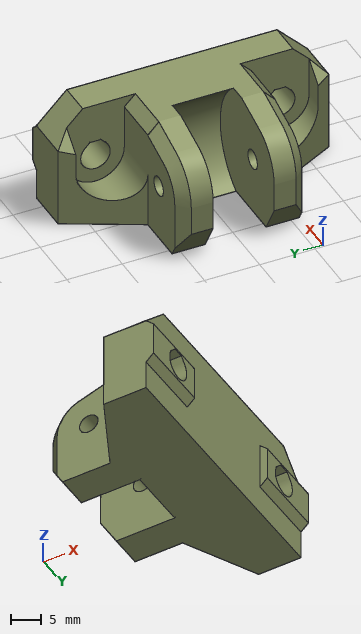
import cadquery as cq
import math

length = 49.0
height = 20.0

pin_setback = 18.65
pin_height = 10.35
pin_diameter = 3.5
nose_radius = 8.0
top_front_setback = 14.65
foot_height = 5.2
foot_angle = 30.0
arm_chamfer = 2.0
arms_width = 23.0
gap_width = 11.02
gap_radius = 12.0

wing_tip_setback = 8.05
wing_chamfer = 5.5
pocket_floor_setback = 5.95
screw_height = 10.0
screw_diameter = 5.35
screw_flat_rise = 2.8
relief_drop = 3.2
pocket_width = 10.45

key_depth = 1.4
key_half_height = 4.45
key_tip_half_height = 3.15

half_arms = arms_width / 2
half_length = length / 2
front_setback = pin_setback + nose_radius
pocket_radius = pocket_width / 2
screw_offset = half_arms + pocket_radius
key_length = half_length - half_arms
key_offset = half_arms + key_length / 2
shoulder_height = height - wing_chamfer


def nose_point(radius, angle):
    """Point around the pin axis, with the angle measured from +X towards +Z."""
    return (-pin_setback + radius * math.cos(angle), pin_height + radius * math.sin(angle))


def arm_profile(inset):
    """XZ outline of an arm, with its nose and top edges moved inwards by inset."""
    run = pin_setback - top_front_setback
    rise = height - pin_height
    slope_normal = math.atan2(rise, run) + math.acos(nose_radius / math.hypot(run, rise))
    radius = nose_radius - inset
    tangent = nose_point(radius, slope_normal)
    arc_middle = nose_point(radius, (slope_normal + math.pi) / 2)
    top = height - inset
    top_front = tangent[0] - (top - tangent[1]) * math.tan(slope_normal)
    front = -front_setback + inset
    return (
        cq.Workplane("XZ")
        .moveTo(front, 0)
        .lineTo(front, pin_height)
        .threePointArc(arc_middle, tangent)
        .lineTo(top_front, top)
        .lineTo(0, top)
        .lineTo(0, 0)
        .close()
    )


def make_arms():
    """Full-width arm block with chamfered outer rims and sloping feet."""
    core_half = half_arms - arm_chamfer
    arms = arm_profile(0).extrude(core_half, both=True)
    outer = cq.Solid.makeLoft(
        [
            arm_profile(0).wires().val().translate(cq.Vector(0, -core_half, 0)),
            arm_profile(arm_chamfer).wires().val().translate(cq.Vector(0, -half_arms, 0)),
        ],
        True,
    )
    rim = cq.Workplane(outer)
    arms = arms.union(rim).union(rim.mirror("XZ"))
    foot_run = foot_height * math.tan(math.radians(foot_angle))
    foot = (
        cq.Workplane("XZ")
        .polyline([(-front_setback, 0), (-front_setback + foot_run, 0), (-front_setback, foot_height)])
        .close()
        .extrude(half_arms, both=True)
    )
    return arms.cut(foot)


def make_wings():
    """Tapered wings and rear plate with chamfered upper ends."""
    plan = (
        cq.Workplane("XY")
        .polyline(
            [
                (0, -half_length),
                (-wing_tip_setback, -half_length),
                (-top_front_setback, -half_arms),
                (-top_front_setback, half_arms),
                (-wing_tip_setback, half_length),
                (0, half_length),
            ]
        )
        .close()
        .extrude(height)
    )
    end_view = (
        cq.Workplane("YZ")
        .polyline(
            [
                (-half_length, 0),
                (half_length, 0),
                (half_length, shoulder_height),
                (half_length - wing_chamfer, height),
                (-half_length + wing_chamfer, height),
                (-half_length, shoulder_height),
            ]
        )
        .close()
        .extrude(-front_setback)
    )
    return plan.intersect(end_view)


def make_pocket(side):
    """Open-topped, round-bottomed pocket that also chamfers the top edge of the neighbouring arm."""
    inner = side * half_arms
    outer = side * (half_arms + pocket_width)
    return (
        cq.Workplane("YZ", origin=(-front_setback, 0, 0))
        .moveTo(inner - side * arm_chamfer, height)
        .lineTo(inner, height - arm_chamfer)
        .lineTo(inner, screw_height)
        .threePointArc((side * screw_offset, screw_height - pocket_radius), (outer, screw_height))
        .lineTo(outer, height)
        .close()
        .extrude(front_setback - pocket_floor_setback)
    )


def make_corner_relief(side):
    """Tetrahedron that slopes the pocket's outer wall down from its floor to the wing's front face."""
    wall = half_arms + pocket_width
    rim_height = shoulder_height + half_length - wall
    wing_slope = (top_front_setback - wing_tip_setback) / (half_length - half_arms)
    front = -wing_tip_setback - (half_length - wall) * wing_slope
    floor_corner = cq.Vector(-pocket_floor_setback, side * wall, rim_height)
    wing_corner = cq.Vector(-wing_tip_setback, side * half_length, shoulder_height)
    front_high = cq.Vector(front, side * wall, rim_height)
    front_low = cq.Vector(front, side * wall, rim_height - relief_drop)
    triangles = [
        (floor_corner, wing_corner, front_high),
        (floor_corner, wing_corner, front_low),
        (floor_corner, front_high, front_low),
        (wing_corner, front_high, front_low),
    ]
    faces = [cq.Face.makeFromWires(cq.Wire.makePolygon(points, close=True)) for points in triangles]
    return cq.Workplane(cq.Solid.makeSolid(cq.Shell.makeShell(faces)))


def make_screw_hole(side):
    """Through hole with 45-degree roof flanks cut off by a flat, for printing without supports."""
    radius = screw_diameter / 2
    shoulder = radius / math.sqrt(2)
    half_flat = radius * math.sqrt(2) - screw_flat_rise
    return (
        cq.Workplane("YZ", origin=(-front_setback, side * screw_offset, screw_height))
        .moveTo(-shoulder, shoulder)
        .threePointArc((0, -radius), (shoulder, shoulder))
        .lineTo(half_flat, screw_flat_rise)
        .lineTo(-half_flat, screw_flat_rise)
        .close()
        .extrude(front_setback + key_depth)
    )


def make_key(side):
    """Tapered key across the rear face, running from arm line to wing end."""
    return (
        cq.Workplane("XZ", origin=(0, side * key_offset, 0))
        .polyline(
            [
                (0, screw_height - key_half_height),
                (key_depth, screw_height - key_tip_half_height),
                (key_depth, screw_height + key_tip_half_height),
                (0, screw_height + key_half_height),
            ]
        )
        .close()
        .extrude(key_length / 2, both=True)
    )


body = make_wings()
for side in (-1, 1):
    body = body.cut(make_pocket(side)).cut(make_corner_relief(side)).union(make_key(side))

body = body.union(make_arms())

gap = (
    cq.Workplane("XZ")
    .center(-pin_setback, pin_height)
    .circle(gap_radius)
    .extrude(gap_width / 2, both=True)
)
pin_hole = (
    cq.Workplane("XZ")
    .center(-pin_setback, pin_height)
    .circle(pin_diameter / 2)
    .extrude(half_arms, both=True)
)
result = body.cut(gap).cut(pin_hole)
for side in (-1, 1):
    result = result.cut(make_screw_hole(side))